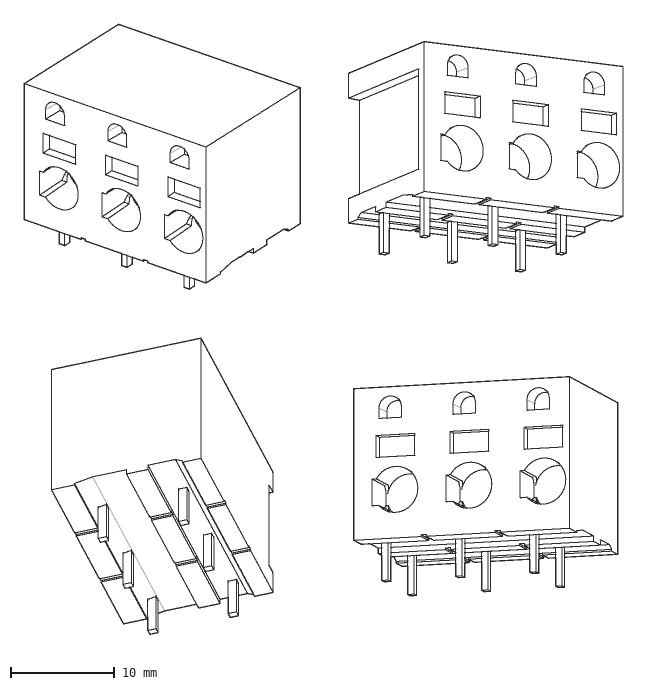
import cadquery as cq
import math


LENGTH = 21.8
DEPTH = 15.2
HEIGHT = 14.82

POLE_COUNT = 3
POLE_PITCH = 7.48
pole_starts = [index * POLE_PITCH for index in range(POLE_COUNT)]

CLEARANCE = 0.52
PAD_HEIGHT = 0.17
FRONT_FOOT_END = 2.35
FRONT_SLOPE_END = 4.19
MIDDLE_FOOT_START = 7.63
MIDDLE_FOOT_END = 9.8
REAR_SLOPE_START = 12.6
REAR_FOOT_START = 13.3

GROOVE_WIDTH = 0.5
FIRST_GROOVE_X = 7.06

RECESS_DEPTH = 1.2
RECESS_BOTTOM = 2.45
RECESS_TOP = 12.35
RECESS_FRONT = 1.18
RECESS_DRAFT = 0.09

ARCH_X = 3.68
ARCH_WIDTH = 2.27
ARCH_BOTTOM = 11.77
ARCH_TOP = 13.9
ARCH_DEPTH = 2.18
ARCH_DRAFT = 0.09

MARKER_LEFT = 2.27
MARKER_WIDTH = 3.88
MARKER_BOTTOM = 7.98
MARKER_HEIGHT = 2.14
MARKER_DEPTH = 1.05

ENTRY_X = 4.23
ENTRY_Z = 4.75
ENTRY_RADIUS = 2.25
ENTRY_DEPTH = 4.35

SLOT_LEFT = 1.85
SLOT_BOTTOM = 3.27
SLOT_TOP = 5.89
SLOT_ROUND = 0.68
SLOT_RAMP_BOTTOM_Z = 3.35
SLOT_RAMP_TOP_Z = 3.8
SLOT_FLOOR_BOTTOM_Z = 4.01
SLOT_RAMP_START = 3.55
SLOT_RAMP_END = 4.0

PIN_LEFT = 1.77
PIN_WIDTH = 0.65
PIN_THICKNESS = 0.85
PIN_LENGTH = 3.47
PIN_SEAT_TOP = 1.3
PIN_FRONTS = [3.27, 11.42]


def box(x, y, z, size_x, size_y, size_z):
    return cq.Workplane("XY").box(size_x, size_y, size_z, centered=False).translate((x, y, z))


def make_block():
    side_outline = (
        cq.Workplane("YZ")
        .moveTo(0, 0)
        .lineTo(FRONT_FOOT_END, 0)
        .lineTo(FRONT_FOOT_END, PAD_HEIGHT)
        .lineTo(FRONT_SLOPE_END, CLEARANCE)
        .lineTo(MIDDLE_FOOT_START, CLEARANCE)
        .lineTo(MIDDLE_FOOT_START, 0)
        .lineTo(MIDDLE_FOOT_END, 0)
        .lineTo(MIDDLE_FOOT_END, CLEARANCE)
        .lineTo(REAR_SLOPE_START, CLEARANCE)
        .lineTo(REAR_FOOT_START, PAD_HEIGHT)
        .lineTo(REAR_FOOT_START, 0)
        .lineTo(DEPTH, 0)
        .lineTo(DEPTH, HEIGHT)
        .lineTo(0, HEIGHT)
        .close()
    )
    return side_outline.extrude(LENGTH)


def groove(index):
    center_x = FIRST_GROOVE_X + index * POLE_PITCH
    return box(center_x - GROOVE_WIDTH / 2, 0, 0, GROOVE_WIDTH, DEPTH, PAD_HEIGHT)


def side_recess():
    """The front and top walls lean outwards towards the opening."""
    return (
        cq.Workplane("YZ")
        .moveTo(RECESS_FRONT, RECESS_BOTTOM)
        .lineTo(DEPTH, RECESS_BOTTOM)
        .lineTo(DEPTH, RECESS_TOP)
        .lineTo(RECESS_FRONT, RECESS_TOP)
        .close()
        .workplane(offset=RECESS_DEPTH)
        .moveTo(RECESS_FRONT + RECESS_DRAFT, RECESS_BOTTOM)
        .lineTo(DEPTH, RECESS_BOTTOM)
        .lineTo(DEPTH, RECESS_TOP - RECESS_DRAFT)
        .lineTo(RECESS_FRONT + RECESS_DRAFT, RECESS_TOP - RECESS_DRAFT)
        .close()
        .loft(ruled=True)
    )


def arch_outline(workplane, radius):
    spring_z = ARCH_TOP - ARCH_WIDTH / 2
    return (
        workplane
        .moveTo(ARCH_X - radius, ARCH_BOTTOM)
        .lineTo(ARCH_X + radius, ARCH_BOTTOM)
        .lineTo(ARCH_X + radius, spring_z)
        .threePointArc((ARCH_X, spring_z + radius), (ARCH_X - radius, spring_z))
        .close()
    )


def test_opening():
    mouth = arch_outline(cq.Workplane("XZ"), ARCH_WIDTH / 2)
    floor = arch_outline(mouth.workplane(offset=-ARCH_DEPTH), ARCH_WIDTH / 2 - ARCH_DRAFT)
    return floor.loft(ruled=True)


def marker_pocket():
    return box(MARKER_LEFT, 0, MARKER_BOTTOM, MARKER_WIDTH, MARKER_DEPTH, MARKER_HEIGHT)


def wire_entry():
    return cq.Workplane("XZ").center(ENTRY_X, ENTRY_Z).circle(ENTRY_RADIUS).extrude(-ENTRY_DEPTH)


def entry_slot():
    round_start = ENTRY_DEPTH - SLOT_ROUND
    round_middle = SLOT_ROUND * math.sqrt(0.5)
    return (
        cq.Workplane("YZ", origin=(SLOT_LEFT, 0, 0))
        .moveTo(0, SLOT_BOTTOM)
        .lineTo(SLOT_RAMP_START, SLOT_RAMP_BOTTOM_Z)
        .lineTo(SLOT_RAMP_END, SLOT_RAMP_TOP_Z)
        .lineTo(ENTRY_DEPTH, SLOT_FLOOR_BOTTOM_Z)
        .lineTo(ENTRY_DEPTH, SLOT_TOP - SLOT_ROUND)
        .threePointArc(
            (round_start + round_middle, SLOT_TOP - SLOT_ROUND + round_middle),
            (round_start, SLOT_TOP),
        )
        .lineTo(0, SLOT_TOP)
        .close()
        .extrude(ENTRY_X - SLOT_LEFT)
    )


def make_pin(pole_start, front):
    """A straight pin from below the housing up to the top of its seat."""
    return box(
        pole_start + PIN_LEFT, front, -PIN_LENGTH,
        PIN_WIDTH, PIN_THICKNESS, PIN_LENGTH + PIN_SEAT_TOP,
    )


def make_housing(pins):
    housing = make_block().cut(side_recess())
    for index in range(POLE_COUNT - 1):
        housing = housing.cut(groove(index))
    openings = [test_opening(), marker_pocket(), wire_entry(), entry_slot()]
    for pole_start in pole_starts:
        for opening in openings:
            housing = housing.cut(opening.translate((pole_start, 0, 0)))
    for pin in pins:
        housing = housing.cut(pin)
    return housing


pins = [make_pin(pole_start, front) for pole_start in pole_starts for front in PIN_FRONTS]
housing = make_housing(pins)

result = cq.Compound.makeCompound([housing.val(), *[pin.val() for pin in pins]])